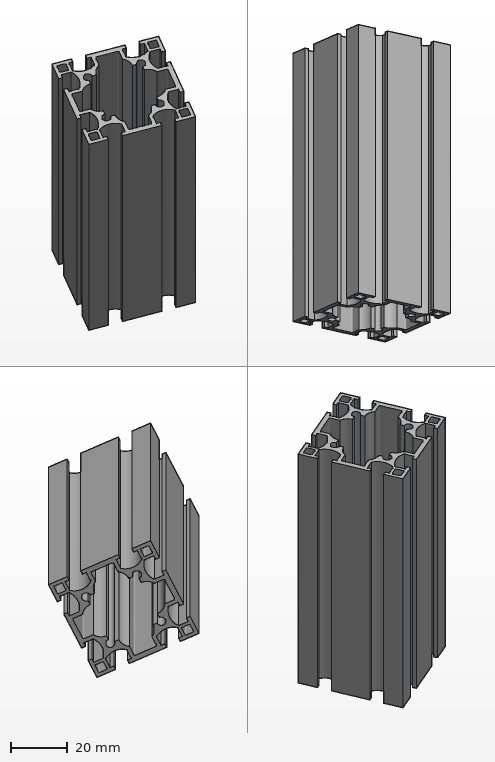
import cadquery as cq
import math

length = 100.0
side = 40.0
half_side = side / 2

slot_offset = side / 4
slot_opening = 5.3
lip_thickness = 1.5
pocket_width = 8.3
pocket_side_depth = 5.2
pocket_depth = 6.7

tube_wall = 1.4
tube_bore = 3.3
tube_fillet = 0.4

outer_wall = 2.0
arm_half_width = 4.4
arm_fillet = 0.5
arm_height = half_side - outer_wall
core_half_width = slot_offset
flank_radius = 4.6
flank_half_width = 6.7
flank_centre_x = flank_half_width - flank_radius
screw_channel_radius = 1.6


def four_sides(solid):
    """Return the solid repeated around Z, once for each side of the profile."""
    copies = solid
    for angle in (90, 180, 270):
        copies = copies.union(solid.rotate((0, 0, 0), (0, 0, 1), angle))
    return copies


def t_slot(centre_x):
    """T-slot void with a rounded floor, open to the +Y side."""
    lip_y = half_side - lip_thickness
    pocket_left = centre_x - pocket_width / 2
    pocket_right = centre_x + pocket_width / 2
    floor_side_y = half_side - pocket_side_depth
    opening = (
        cq.Workplane("XY")
        .center(centre_x, half_side - pocket_side_depth / 2)
        .rect(slot_opening, pocket_side_depth)
        .extrude(length)
    )
    pocket = (
        cq.Workplane("XY")
        .moveTo(pocket_left, lip_y)
        .lineTo(pocket_left, floor_side_y)
        .threePointArc((centre_x, half_side - pocket_depth), (pocket_right, floor_side_y))
        .lineTo(pocket_right, lip_y)
        .close()
        .extrude(length)
    )
    return opening.union(pocket)


def cavity_arm():
    """Arm of the cavity towards +Y, together with its half of the core."""
    flank_angle = math.acos((arm_half_width - flank_centre_x) / flank_radius)
    flank_top_y = core_half_width + flank_radius * math.sin(flank_angle)
    flank_mid_x = flank_centre_x + flank_radius * math.cos(flank_angle / 2)
    flank_mid_y = core_half_width + flank_radius * math.sin(flank_angle / 2)
    return (
        cq.Workplane("XY")
        .moveTo(core_half_width, 0)
        .lineTo(core_half_width, core_half_width)
        .lineTo(flank_half_width, core_half_width)
        .threePointArc((flank_mid_x, flank_mid_y), (arm_half_width, flank_top_y))
        .lineTo(arm_half_width, arm_height)
        .lineTo(-arm_half_width, arm_height)
        .lineTo(-arm_half_width, flank_top_y)
        .threePointArc((-flank_mid_x, flank_mid_y), (-flank_half_width, core_half_width))
        .lineTo(-core_half_width, core_half_width)
        .lineTo(-core_half_width, 0)
        .close()
        .extrude(length)
        .faces(">Y")
        .edges("|Z")
        .fillet(arm_fillet)
    )


def tube_bores():
    """Square bores through the four corners of the profile."""
    spacing = side - 2 * tube_wall - tube_bore
    return (
        cq.Workplane("XY")
        .rarray(spacing, spacing, 2, 2)
        .rect(tube_bore, tube_bore)
        .extrude(length)
        .edges("|Z")
        .fillet(tube_fillet)
    )


def screw_channels():
    """Round screw channels on the four corners of the cavity core."""
    return (
        cq.Workplane("XY")
        .rarray(2 * slot_offset, 2 * slot_offset, 2, 2)
        .circle(screw_channel_radius)
        .extrude(length)
    )


bar = cq.Workplane("XY").rect(side, side).extrude(length)
slots = four_sides(t_slot(-slot_offset).union(t_slot(slot_offset)))
cavity = four_sides(cavity_arm()).union(screw_channels())
result = bar.cut(slots).cut(cavity).cut(tube_bores())